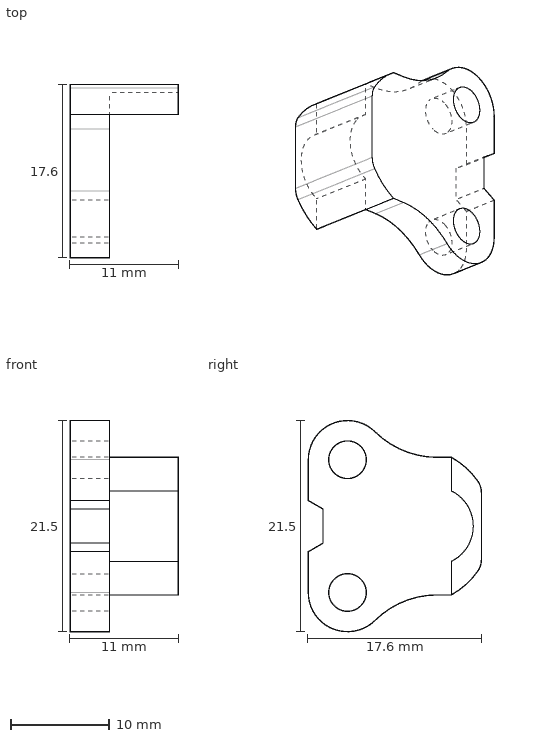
import cadquery as cq
import math

total_width = 11.0
total_depth = 17.62
total_height = 21.5

plate_thickness = 4.0
lug_radius = 4.0
hole_diameter = 3.8
waist_half_height = 7.0
waist_flat_start = 13.1

notch_depth = 1.48
notch_floor_half = 1.75
notch_flank_angle = 30.0

arm_thickness = 3.07
back_arc_radius = 8.0
back_corner_radius = 2.0
groove_radius = 4.0
groove_half_width = 3.59

arm_front = total_depth - arm_thickness
lug_y = lug_radius
lug_z = total_height / 2 - lug_radius
notch_mouth_half = notch_floor_half + notch_depth * math.tan(math.radians(notch_flank_angle))


def point_on_circle(center, radius, angle):
    return (center[0] + radius * math.cos(angle), center[1] + radius * math.sin(angle))


def direction(start, end):
    return math.atan2(end[1] - start[1], end[0] - start[0])


def upper_half_outline():
    """Upper half of the plate face in (Y, Z), closed along Z = 0."""
    lug_center = (lug_y, lug_z)

    run = waist_flat_start - lug_y
    rise = waist_half_height - lug_z
    neck_radius = (run**2 + rise**2 - lug_radius**2) / (2 * (lug_radius - rise))
    neck_center = (waist_flat_start, waist_half_height + neck_radius)
    neck_angle = direction(lug_center, neck_center)
    neck_start = point_on_circle(lug_center, lug_radius, neck_angle)
    neck_middle_angle = (neck_angle - math.pi - math.pi / 2) / 2
    neck_middle = point_on_circle(neck_center, neck_radius, neck_middle_angle)
    lug_middle = point_on_circle(lug_center, lug_radius, (math.pi + neck_angle) / 2)

    back_center = (arm_front - math.sqrt(back_arc_radius**2 - waist_half_height**2), 0)
    corner_y = total_depth - back_corner_radius
    center_gap = back_arc_radius - back_corner_radius
    corner_center = (corner_y, math.sqrt(center_gap**2 - (corner_y - back_center[0]) ** 2))
    blend_angle = direction(back_center, corner_center)
    back_start = (arm_front, waist_half_height)
    back_start_angle = direction(back_center, back_start)
    back_middle = point_on_circle(back_center, back_arc_radius, (back_start_angle + blend_angle) / 2)
    back_end = point_on_circle(back_center, back_arc_radius, blend_angle)
    corner_middle = point_on_circle(corner_center, back_corner_radius, blend_angle / 2)

    return (
        cq.Workplane("YZ")
        .moveTo(notch_depth, 0)
        .lineTo(notch_depth, notch_floor_half)
        .lineTo(0, notch_mouth_half)
        .lineTo(0, lug_z)
        .threePointArc(lug_middle, neck_start)
        .threePointArc(neck_middle, (waist_flat_start, waist_half_height))
        .lineTo(*back_start)
        .threePointArc(back_middle, back_end)
        .threePointArc(corner_middle, (total_depth, corner_center[1]))
        .lineTo(total_depth, 0)
        .close()
    )


def full_profile(length):
    """Whole profile, mirrored about Z = 0 and extruded along X from 0."""
    upper = upper_half_outline().extrude(length)
    return upper.union(upper.mirror("XY")).clean()


def make_plate():
    holes = (
        cq.Workplane("YZ")
        .pushPoints([(lug_y, lug_z), (lug_y, -lug_z)])
        .circle(hole_diameter / 2)
        .extrude(plate_thickness)
    )
    return full_profile(plate_thickness).cut(holes)


def make_arm():
    behind_front = cq.Workplane("XY").box(
        total_width, arm_thickness, total_height, centered=(False, False, True)
    ).translate((0, arm_front, 0))
    arm = full_profile(total_width).intersect(behind_front)

    groove_y = arm_front - math.sqrt(groove_radius**2 - groove_half_width**2)
    groove = (
        cq.Workplane("YZ", origin=(plate_thickness, 0, 0))
        .center(groove_y, 0)
        .circle(groove_radius)
        .extrude(total_width - plate_thickness)
    )
    return arm.cut(groove)


result = make_plate().union(make_arm())